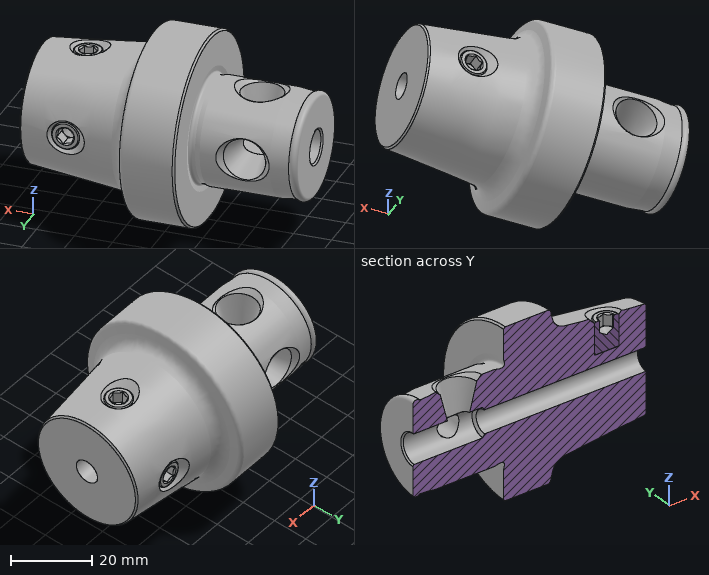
import cadquery as cq
import math

OVERALL_LENGTH = 72.0
FLANGE_RADIUS = 25.0

SHANK_LENGTH = 28.0
SHANK_RADIUS = 14.0
LIP_ROUND = 1.2
LIP_END_X = 1.7
GROOVE_RADIUS = 13.5
GROOVE_START_X = 2.2
GROOVE_END_X = 2.6
GUIDE_START_X = 7.0
GUIDE_END_X = 25.35
NECK_RADIUS = 13.6
NECK_START_X = 26.7
NECK_FILLET = 0.8

DISH_RADIUS = 15.8
DISH_DEPTH = 0.3
FLANGE_CHAMFER = 0.5
FLANGE_RIM_X = 42.5
FLANGE_ROUND = 1.2
FLANGE_SLOPE_ANGLE = 13.0

TAPER_START_X = 46.6
TAPER_START_RADIUS = 18.7
TAPER_END_RADIUS = 16.0
TAPER_CHAMFER = 0.4
TAPER_FILLET = 4.0

BORE_RADIUS = 4.3
BORE_CHAMFER = 0.4
BORE_DEPTH = 21.6
THROUGH_RADIUS = 3.4
DRILL_HALF_ANGLE = 59.0

SEAT_X = 14.2
SEAT_MOUTH_RADIUS = 7.0
SEAT_RADIUS = 5.55
SEAT_HALF_ANGLE = 15.0

SCREW_X = 59.8
SCREW_RADIUS = 3.7
SCREW_CHAMFER = 0.3
SCREW_TOP = 16.3
SCREW_LENGTH = 9.35
SCREW_MOUTH_RADIUS = 5.05
HEX_ACROSS_FLATS = 4.0
HEX_DEPTH = 3.6
HEX_CHAMFER_RADIUS = 2.45
HEX_TURN = 15.0

SIDE_ANGLES = (0.0, -90.0)

SELECT_MARGIN = 0.1


def tan_deg(angle):
    return math.tan(math.radians(angle))


def turned(profile):
    """Revolve a closed (x, radius) profile about the X axis."""
    return profile.close().revolve(360, (0, 0, 0), (1, 0, 0))


def turned_upright(points, x):
    """Revolve (radius, z) points about a vertical axis at the given x."""
    solid = cq.Workplane("XZ").polyline(points).close().revolve(360, (0, 0, 0), (0, 1, 0))
    return solid.translate((x, 0, 0))


def about_axis(shape, angle):
    """Turn a shape made on the +Z side about the X axis."""
    return shape.rotate((0, 0, 0), (1, 0, 0), angle)


def ring_selector(x):
    """Select the circular edges that lie at the given x."""
    return cq.selectors.BoxSelector(
        (x - SELECT_MARGIN, -FLANGE_RADIUS - SELECT_MARGIN, -FLANGE_RADIUS - SELECT_MARGIN),
        (x + SELECT_MARGIN, FLANGE_RADIUS + SELECT_MARGIN, FLANGE_RADIUS + SELECT_MARGIN),
        boundingbox=True,
    )


def blank():
    """Outer shape of the body, before any bore or hole."""
    diagonal = math.sqrt(0.5)
    lip_centre_radius = SHANK_RADIUS - LIP_ROUND
    lip_end_radius = lip_centre_radius + math.sqrt(LIP_ROUND**2 - (LIP_END_X - LIP_ROUND) ** 2)
    fillet_start_x = SHANK_LENGTH + DISH_DEPTH - NECK_FILLET
    fillet_centre_radius = NECK_RADIUS + NECK_FILLET

    slope_per_radius = tan_deg(FLANGE_SLOPE_ANGLE)
    taper_per_length = (TAPER_START_RADIUS - TAPER_END_RADIUS) / (OVERALL_LENGTH - TAPER_START_X)
    rim_drop = FLANGE_RADIUS - TAPER_START_RADIUS - taper_per_length * (TAPER_START_X - FLANGE_RIM_X)
    foot_drop = rim_drop / (1 - slope_per_radius * taper_per_length)
    foot_x = FLANGE_RIM_X + slope_per_radius * foot_drop
    foot_radius = TAPER_START_RADIUS + taper_per_length * (TAPER_START_X - foot_x)

    profile = (
        cq.Workplane("XY")
        .moveTo(0, 0)
        .lineTo(0, lip_centre_radius)
        .threePointArc((LIP_ROUND, SHANK_RADIUS), (LIP_END_X, lip_end_radius))
        .lineTo(GROOVE_START_X, GROOVE_RADIUS)
        .lineTo(GROOVE_END_X, GROOVE_RADIUS)
        .lineTo(GUIDE_START_X, SHANK_RADIUS)
        .lineTo(GUIDE_END_X, SHANK_RADIUS)
        .lineTo(NECK_START_X, NECK_RADIUS)
        .lineTo(fillet_start_x, NECK_RADIUS)
        .threePointArc(
            (fillet_start_x + NECK_FILLET * diagonal, fillet_centre_radius - NECK_FILLET * diagonal),
            (fillet_start_x + NECK_FILLET, fillet_centre_radius),
        )
        .lineTo(SHANK_LENGTH, DISH_RADIUS)
        .lineTo(SHANK_LENGTH, FLANGE_RADIUS - FLANGE_CHAMFER)
        .lineTo(SHANK_LENGTH + FLANGE_CHAMFER, FLANGE_RADIUS)
        .lineTo(FLANGE_RIM_X, FLANGE_RADIUS)
        .lineTo(foot_x, foot_radius)
        .lineTo(OVERALL_LENGTH - TAPER_CHAMFER, TAPER_END_RADIUS + taper_per_length * TAPER_CHAMFER)
        .lineTo(OVERALL_LENGTH, TAPER_END_RADIUS - TAPER_CHAMFER)
        .lineTo(OVERALL_LENGTH, 0)
    )
    body = turned(profile)
    body = body.edges(ring_selector(FLANGE_RIM_X)).fillet(FLANGE_ROUND)
    return body.edges(ring_selector(foot_x)).fillet(TAPER_FILLET)


def axial_bore():
    cone_length = (BORE_RADIUS - THROUGH_RADIUS) / tan_deg(DRILL_HALF_ANGLE)
    return turned(
        cq.Workplane("XY")
        .moveTo(0, 0)
        .lineTo(0, BORE_RADIUS + BORE_CHAMFER)
        .lineTo(BORE_CHAMFER, BORE_RADIUS)
        .lineTo(BORE_DEPTH, BORE_RADIUS)
        .lineTo(BORE_DEPTH + cone_length, THROUGH_RADIUS)
        .lineTo(OVERALL_LENGTH, THROUGH_RADIUS)
        .lineTo(OVERALL_LENGTH, 0)
    )


def conical_seat():
    """Tapered recess on +Z that runs from the shank surface into the bore."""
    countersink_height = SHANK_RADIUS - (SEAT_MOUTH_RADIUS - SEAT_RADIUS)
    bottom_radius = SEAT_RADIUS - countersink_height * tan_deg(SEAT_HALF_ANGLE)
    return turned_upright(
        [
            (0, 0),
            (bottom_radius, 0),
            (SEAT_RADIUS, countersink_height),
            (SEAT_MOUTH_RADIUS, SHANK_RADIUS),
            (SEAT_MOUTH_RADIUS, FLANGE_RADIUS),
            (0, FLANGE_RADIUS),
        ],
        SEAT_X,
    )


def screw_hole():
    """Countersunk blind hole on +Z that ends at the foot of the screw."""
    taper_fraction = (SCREW_X - TAPER_START_X) / (OVERALL_LENGTH - TAPER_START_X)
    surface = TAPER_START_RADIUS + taper_fraction * (TAPER_END_RADIUS - TAPER_START_RADIUS)
    floor = SCREW_TOP - SCREW_LENGTH
    sink_bottom = surface - (SCREW_MOUTH_RADIUS - SCREW_RADIUS)
    sink_top_radius = SCREW_RADIUS + FLANGE_RADIUS - sink_bottom
    return turned_upright(
        [
            (0, floor),
            (SCREW_RADIUS, floor),
            (SCREW_RADIUS, sink_bottom),
            (sink_top_radius, FLANGE_RADIUS),
            (0, FLANGE_RADIUS),
        ],
        SCREW_X,
    )


def make_set_screw():
    """Headless screw on +Z with a chamfered hexagon socket."""
    corner_radius = HEX_ACROSS_FLATS / math.sqrt(3)
    flat_radius = HEX_ACROSS_FLATS / 2
    shaft = (
        cq.Workplane("XY")
        .circle(SCREW_RADIUS)
        .extrude(-SCREW_LENGTH)
        .faces(">Z")
        .chamfer(SCREW_CHAMFER)
    )
    hexagon = (
        cq.Workplane("XY")
        .polygon(6, 2 * corner_radius)
        .extrude(-HEX_DEPTH)
        .rotate((0, 0, 0), (0, 0, 1), HEX_TURN)
    )
    cone_depth = flat_radius / tan_deg(DRILL_HALF_ANGLE)
    socket_floor = turned_upright(
        [(0, -HEX_DEPTH), (flat_radius, -HEX_DEPTH), (0, -HEX_DEPTH - cone_depth)], 0
    )
    socket_mouth = turned_upright([(0, 0), (HEX_CHAMFER_RADIUS, 0), (0, -HEX_CHAMFER_RADIUS)], 0)
    screw = shaft.cut(hexagon).cut(socket_floor).cut(socket_mouth)
    return screw.translate((SCREW_X, 0, SCREW_TOP))


def make_holder():
    body = blank().cut(axial_bore())
    for angle in SIDE_ANGLES:
        body = body.cut(about_axis(conical_seat(), angle))
        body = body.cut(about_axis(screw_hole(), angle))
    return body


holder = make_holder()
set_screws = [about_axis(make_set_screw(), angle) for angle in SIDE_ANGLES]

result = cq.Compound.makeCompound([holder.val(), *[screw.val() for screw in set_screws]])